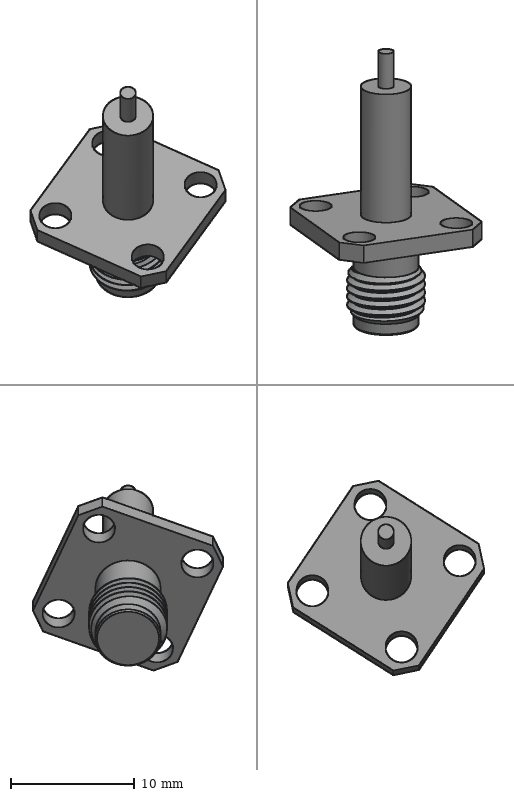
import cadquery as cq
import math

FLANGE_SIDE = 12.7
FLANGE_THICKNESS = 1.5
CORNER_CUT = 1.5
HOLE_SPACING = 8.64
HOLE_DIAMETER = 2.6

SLEEVE_DIAMETER = 4.1
SLEEVE_LENGTH = 11.0
PIN_DIAMETER = 1.27
PIN_LENGTH = 3.0

BARREL_RADIUS = 5.3 / 2
BARREL_LENGTH = 8.0
BARREL_END_CHAMFER = 0.14

THREAD_RADIUS = 6.35 / 2
THREAD_PITCH = 25.4 / 36
THREAD_TOP = -3.0
THREAD_BOTTOM = -7.0
THREAD_LEAD_IN = 0.6
THREAD_CREST_WIDTH = 0.06
THREAD_FLANK_ANGLE = 30.0
GROOVE_START = -6.716
GROOVE_START_ANGLE = -90.0
GROOVE_FLOOR_RISE = 0.02
GROOVE_OVERCUT = 0.02



def cylinder(radius, bottom, height):
    """Cylinder on the Z axis that starts at height bottom."""
    return cq.Workplane("XY").workplane(offset=bottom).circle(radius).extrude(height)


def make_flange():
    plate = cq.Workplane("XY").rect(FLANGE_SIDE, FLANGE_SIDE).extrude(FLANGE_THICKNESS)
    plate = plate.edges("|Z").chamfer(CORNER_CUT)
    holes = (
        cq.Workplane("XY")
        .rect(HOLE_SPACING, HOLE_SPACING, forConstruction=True)
        .vertices()
        .circle(HOLE_DIAMETER / 2)
        .extrude(FLANGE_THICKNESS)
    )
    return plate.cut(holes)


def make_thread_blank():
    """Threaded length before the groove is cut, coned to the barrel at both ends."""
    return (
        cq.Workplane("XZ")
        .moveTo(0, THREAD_BOTTOM)
        .lineTo(BARREL_RADIUS, THREAD_BOTTOM)
        .lineTo(THREAD_RADIUS, THREAD_BOTTOM + THREAD_LEAD_IN)
        .lineTo(THREAD_RADIUS, THREAD_TOP - THREAD_LEAD_IN)
        .lineTo(BARREL_RADIUS, THREAD_TOP)
        .lineTo(0, THREAD_TOP)
        .close()
        .revolve(360, (0, 0), (0, 1))
    )


def make_thread_groove():
    """V groove that starts on the -Y side and climbs out through the upper end cone."""
    turns = math.ceil((THREAD_TOP - GROOVE_START) / THREAD_PITCH)
    floor_radius = BARREL_RADIUS + GROOVE_FLOOR_RISE
    mouth_radius = THREAD_RADIUS + GROOVE_OVERCUT

    flank_slope = math.tan(math.radians(THREAD_FLANK_ANGLE))
    crest_gap_half = (THREAD_PITCH - THREAD_CREST_WIDTH) / 2
    floor_half = crest_gap_half - (THREAD_RADIUS - floor_radius) * flank_slope
    mouth_half = crest_gap_half + GROOVE_OVERCUT * flank_slope

    helix = cq.Wire.makeHelix(
        THREAD_PITCH, turns * THREAD_PITCH, floor_radius, cq.Vector(0, 0, GROOVE_START)
    )
    groove = (
        cq.Workplane("XZ")
        .moveTo(floor_radius, GROOVE_START - floor_half)
        .lineTo(mouth_radius, GROOVE_START - mouth_half)
        .lineTo(mouth_radius, GROOVE_START + mouth_half)
        .lineTo(floor_radius, GROOVE_START + floor_half)
        .close()
        .sweep(cq.Workplane(helix), isFrenet=True)
    )
    return groove.rotate((0, 0, 0), (0, 0, 1), GROOVE_START_ANGLE)


def make_barrel():
    """Plain neck, threaded length and plain chamfered tip, stacked end to end."""
    neck = cylinder(BARREL_RADIUS, THREAD_TOP, -THREAD_TOP)
    thread = make_thread_blank().cut(make_thread_groove())
    tip = cylinder(BARREL_RADIUS, -BARREL_LENGTH, THREAD_BOTTOM + BARREL_LENGTH)
    tip = tip.faces("<Z").chamfer(BARREL_END_CHAMFER)
    return thread.union(neck).union(tip)


sleeve_top = FLANGE_THICKNESS + SLEEVE_LENGTH
sleeve = cylinder(SLEEVE_DIAMETER / 2, FLANGE_THICKNESS, SLEEVE_LENGTH)
pin = cylinder(PIN_DIAMETER / 2, sleeve_top, PIN_LENGTH)

result = make_flange().union(make_barrel()).union(sleeve).union(pin)